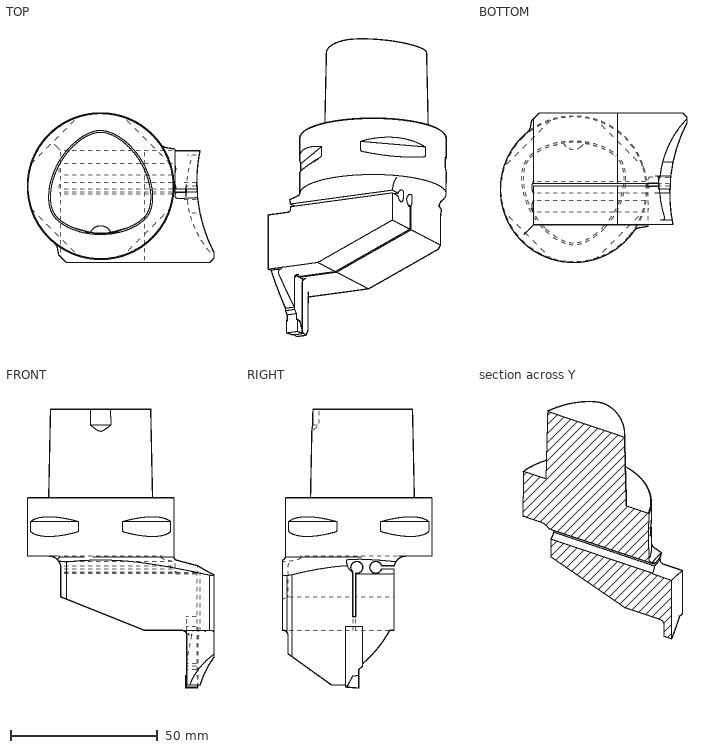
import cadquery as cq
import math


overall_height = 95.0

shank_height = 30.0
shank_base_width = 35.4
shank_top_width = 34.2
lobe_height = 1.2
lobe_count = 3
seam_half_angle = 22.5
curve_steps = 12

notch_radius = 3.8
notch_center_y = -17.3
notch_depth = 5.4
drill_point_angle = 100

flange_diameter = 50.0
flange_radius = flange_diameter / 2
flange_height = 20.0
flange_chamfer = 0.3

groove_floor_distance = 22.1
groove_floor_width = 3.4
groove_flank_angle = 30
groove_fillet = 0.7
groove_mid_z = -10.0
groove_angles = (45, 135, 225, 315)

head_left = -13.6
head_right = 38.7
head_front = -26.0
head_back = 12.1
head_bottom = -45.3
left_chamfer = 1.9
right_chamfer = 1.5
slope_start_z = -33.9
slope_end_x = 14.9
flare_radius = 4.0

neck_length = 0.2
neck_fillet = 1.0
cone_angle = 15

hollow_radius = 52.25
hollow_left = 32.8
hollow_center_y = 1.4

blade_radius = 33.25
blade_left = 29.3
blade_center_y = -0.95
blade_front = -24.2
blade_front_z = -53.2
blade_bottom = -63.9
blade_bottom_y = -9.2
jaw_back = 10.5
jaw_mid_y = 6.0
jaw_mid_z = -52.0
jaw_bottom = -56.6
blade_fillet = 1.6

relief_radius = 2.0
relief_z = -23.8
back_relief_y = 5.8
front_relief_y = -0.7
slit_width = 0.95
front_slit_y = -1.5
stop_top = -40.6

step_left = 25.4
step_front = -4.2
step_floor = -26.1
step_front_fillet = 4.4
step_left_fillet = 0.9

insert_back = 1.3
insert_seat_y = -4.5
insert_top = -44.0
shoulder_z = -57.5
rake_y = 0.0
rake_top = -58.6
seat_bottom = -64.6

tip_left = 28.9
tip_right = 33.1
tip_top = -60.6
tip_shoulder_y = -2.1
tip_shoulder_z = -60.9
tip_relief_y = -4.1
tip_bottom = shank_height - overall_height

reach = 57.0

edge_margin = 0.1


def box_between(x0, x1, y0, y1, z0, z1):
    """Axis-aligned box given by its limits."""
    return cq.Workplane("XY").box(x1 - x0, y1 - y0, z1 - z0, centered=False).translate((x0, y0, z0))


def near_line(x0, x1, y0, y1, z):
    """Selector for edges lying wholly inside a thin level slab."""
    low = (x0 - edge_margin, y0 - edge_margin, z - edge_margin)
    high = (x1 + edge_margin, y1 + edge_margin, z + edge_margin)
    return cq.selectors.BoxSelector(low, high, boundingbox=True)


def polygon_wire(width, z):
    """Three-lobed outline of constant width with one lobe toward +Y and a flat toward -Y."""

    def point(degrees):
        angle = math.radians(degrees)
        lobe_angle = lobe_count * (angle - math.pi / 2)
        support = width / 2 + lobe_height * math.cos(lobe_angle)
        slope = -lobe_count * lobe_height * math.sin(lobe_angle)
        x = support * math.cos(angle) - slope * math.sin(angle)
        y = support * math.sin(angle) + slope * math.cos(angle)
        return cq.Vector(x, y, z)

    pitch = 360 / lobe_count
    arcs = []
    for lobe in range(lobe_count):
        flat_start = -90 - seam_half_angle + lobe * pitch
        lobe_start = flat_start + 2 * seam_half_angle
        for start, end in ((flat_start, lobe_start), (lobe_start, flat_start + pitch)):
            step = (end - start) / curve_steps
            points = [point(start + i * step) for i in range(curve_steps + 1)]
            arcs.append(cq.Edge.makeSpline(points))
    return cq.Wire.assembleEdges(arcs)


def make_shank():
    """Tapered polygon shank with a drilled notch in its flat side."""
    base = polygon_wire(shank_base_width, 0)
    top = polygon_wire(shank_top_width, shank_height)
    shank = cq.Workplane(obj=cq.Solid.makeLoft([base, top], True))
    point_depth = notch_radius / math.tan(math.radians(drill_point_angle / 2))
    floor = shank_height - notch_depth
    drill = (
        cq.Workplane("XZ")
        .moveTo(0, shank_height)
        .lineTo(notch_radius, shank_height)
        .lineTo(notch_radius, floor)
        .lineTo(0, floor - point_depth)
        .close()
        .revolve(360, (0, 0, 0), (0, 1, 0))
        .translate((0, notch_center_y, 0))
    )
    return shank.cut(drill)


def make_flange():
    """Round flange with straight gripper grooves across its rim."""
    flange = cq.Workplane("XY").circle(flange_radius).extrude(-flange_height)
    flange = flange.faces(">Z").edges().chamfer(flange_chamfer)
    half_floor = groove_floor_width / 2
    depth = flange_radius - groove_floor_distance
    half_mouth = half_floor + depth * math.tan(math.radians(groove_flank_angle))
    groove = (
        cq.Workplane("XZ")
        .polyline([
            (groove_floor_distance, groove_mid_z - half_floor),
            (flange_radius, groove_mid_z - half_mouth),
            (flange_radius, groove_mid_z + half_mouth),
            (groove_floor_distance, groove_mid_z + half_floor),
        ])
        .close()
        .extrude(flange_radius, both=True)
        .faces("<X")
        .edges("<Z")
        .fillet(groove_fillet)
    )
    for angle in groove_angles:
        flange = flange.cut(groove.rotate((0, 0, 0), (0, 0, 1), angle))
    return flange


def cone_envelope():
    """Everything below the flange and inside the neck and the conical top of the head."""
    neck_end_z = -flange_height - neck_length

    def blend_point(degrees):
        angle = math.radians(degrees)
        radius = flange_radius + neck_fillet * (1 - math.cos(angle))
        return radius, neck_end_z - neck_fillet * math.sin(angle)

    blend_angle = 90 - cone_angle
    start_radius, start_z = blend_point(blend_angle)
    edge_z = start_z - (reach - start_radius) * math.tan(math.radians(cone_angle))
    return (
        cq.Workplane("XZ")
        .moveTo(0, -flange_height)
        .lineTo(flange_radius, -flange_height)
        .lineTo(flange_radius, neck_end_z)
        .threePointArc(blend_point(blend_angle / 2), (start_radius, start_z))
        .lineTo(reach, edge_z)
        .lineTo(reach, tip_bottom)
        .lineTo(0, tip_bottom)
        .close()
        .revolve(360, (0, 0, 0), (0, 1, 0))
    )


def upright_cylinder(left, center_y, radius):
    """Vertical cylinder given by its leftmost X, reaching down from the seating face."""
    return cq.Workplane("XY").center(left + radius, center_y).circle(radius).extrude(tip_bottom)


def hollow_side():
    """Cylinder that hollows the right side of the head, blade and insert."""
    return upright_cylinder(hollow_left, hollow_center_y, hollow_radius)


def make_blade():
    """Blade and clamping jaw, outlined across X and rounded on their left side."""
    outline = (
        cq.Workplane("YZ")
        .moveTo(jaw_back, head_bottom)
        .threePointArc((jaw_mid_y, jaw_mid_z), (insert_back, jaw_bottom))
        .lineTo(insert_seat_y, blade_bottom)
        .lineTo(blade_bottom_y, blade_bottom)
        .lineTo(blade_front, blade_front_z)
        .lineTo(blade_front, head_bottom)
        .close()
        .extrude(head_right)
    )
    return outline.intersect(upright_cylinder(blade_left, blade_center_y, blade_radius))


def make_head():
    """Block under the flange, flared into it on the left and back and topped by the cone."""
    plan = (
        cq.Workplane("XY")
        .polyline([
            (head_left, head_back),
            (head_left, head_front + left_chamfer),
            (head_left + left_chamfer, head_front),
            (head_right - right_chamfer, head_front),
            (head_right, head_front + right_chamfer),
            (head_right, head_back),
        ])
        .close()
        .extrude(head_bottom)
    )
    underside = (
        cq.Workplane("XZ")
        .polyline([
            (head_left, slope_start_z),
            (slope_end_x, head_bottom),
            (head_left, head_bottom),
        ])
        .close()
        .extrude(reach, both=True)
    )
    plate = box_between(-reach, reach, -reach, reach, -flange_height, 0)
    head = plan.cut(underside).union(plate)
    flare_edges = near_line(head_left, head_left, -reach, reach, -flange_height)
    flare_edges = flare_edges + near_line(-reach, reach, head_back, head_back, -flange_height)
    head = head.edges(flare_edges).fillet(flare_radius)
    return head.intersect(cone_envelope())


def clamp_cuts():
    """Relief holes and slits that free the clamping jaw."""
    holes = (
        cq.Workplane("YZ")
        .pushPoints([(back_relief_y, relief_z), (front_relief_y, relief_z)])
        .circle(relief_radius)
        .extrude(reach, both=True)
    )
    half = slit_width / 2
    level_slit = box_between(
        -reach, reach, back_relief_y, reach, relief_z - half, relief_z + half
    )
    front = front_slit_y - half
    back = front_slit_y + half
    upright_slit = box_between(-reach, reach, front, back, stop_top, relief_z)
    open_end = box_between(-reach, blade_left, front, back, head_bottom, stop_top)
    return holes.union(level_slit).union(upright_slit).union(open_end)


def clearance_step():
    """Block removed above the jaw, with a rounded floor."""
    step = box_between(step_left, reach, step_front, reach, step_floor, -flange_height)
    step = step.edges("|X and <Y and <Z").fillet(step_front_fillet)
    return step.edges("|Y and <X and <Z").fillet(step_left_fillet)


def insert_pocket():
    """Seat of the insert, opened below the head beside the left face of the insert."""
    seat = box_between(blade_left, reach, insert_seat_y, insert_back, tip_bottom, insert_top)
    clearance = box_between(0, blade_left, insert_seat_y, insert_back, tip_bottom, head_bottom)
    return seat.union(clearance)


def make_holder():
    """Shank, flange, head and blade as one body, slit for clamping."""
    holder = make_head().union(make_blade())
    root = near_line(blade_left, head_right, blade_front, jaw_back, head_bottom)
    holder = holder.edges(root).edges("%CIRCLE").fillet(blade_fillet)
    holder = holder.cut(hollow_side()).cut(insert_pocket())
    holder = holder.cut(clearance_step()).cut(clamp_cuts())
    return holder.union(make_flange()).union(make_shank())


def make_insert():
    """Insert with a lowered rake face and a tip slightly wider than its body."""
    body = (
        cq.Workplane("YZ", origin=(blade_left, 0, 0))
        .polyline([
            (insert_seat_y, insert_top),
            (insert_back, insert_top),
            (insert_back, shoulder_z),
            (rake_y, rake_top),
            (rake_y, tip_bottom),
            (insert_seat_y, seat_bottom),
        ])
        .close()
        .extrude(head_right - blade_left)
        .cut(hollow_side())
    )
    relief_share = (rake_y - tip_relief_y) / (rake_y - insert_seat_y)
    tip = (
        cq.Workplane("YZ", origin=(tip_left, 0, 0))
        .polyline([
            (rake_y, tip_bottom),
            (rake_y, tip_top),
            (tip_shoulder_y, tip_shoulder_z),
            (tip_relief_y, tip_bottom + relief_share * (seat_bottom - tip_bottom)),
        ])
        .close()
        .extrude(tip_right - tip_left)
    )
    return body.union(tip)


holder = make_holder()
insert = make_insert()
result = cq.Compound.makeCompound([holder.val(), insert.val()])